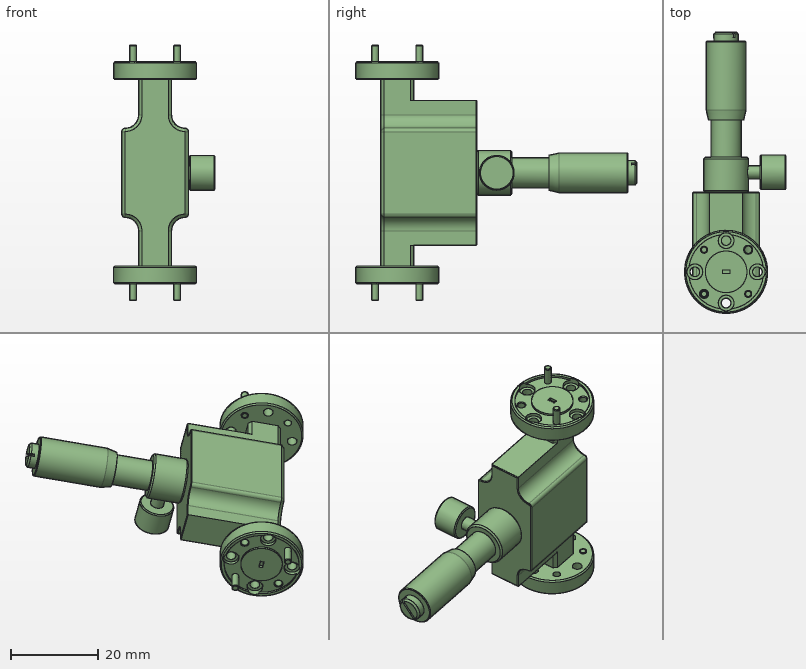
import cadquery as cq
import math


neck_half = 3.8
block_half_width = 7.65
shoulder_z = 10.25
corner_round = 0.85
edge_chamfer = 0.8
back_chamfer = 0.2
back_y = 18.2
arm_z = 16.6

flange_radius = 9.55
flange_face_z = 25.45
flange_thickness = 4.1
flange_chamfer = 0.3
boss_radius = 4.75
rim_inner_radius = 8.55
recess_depth = 0.5
hole_circle_radius = 7.15
screw_hole_diameter = 2.2
counterbore_diameter = 3.6
counterbore_depth = 0.85
guide_width = 1.7
guide_height = 0.85
guide_depth = 0.65

pin_diameter = 1.6
pin_tip_z = 29.275
pin_chamfer = 0.2
socket_diameter = 1.7
socket_mouth_diameter = 2.05
pin_angles = [135, 315]
socket_angles = [45, 225]
screw_angles = [0, 90, 180, 270]

hub_radius = 5.15
hub_end_y = 26.3
hub_chamfer = 0.4
sleeve_radius = 3.5
nose_y = 34.7
nose_radius = 4.05
thimble_start_y = 37.05
thimble_radius = 4.6
thimble_end_y = 52.8
thimble_chamfer = 0.2
cap_radius = 2.85
cap_end_y = 54.9
cap_chamfer = 0.45
slot_width = 0.5
slot_depth = 1.2
slot_angle = 48

lock_y = 22.8
lock_stem_radius = 1.55
knob_radius = 4.0
knob_start_x = 7.8
knob_end_x = 13.7
knob_chamfer = 0.25

cove_radius = block_half_width - neck_half - corner_round
flange_inner_z = flange_face_z - flange_thickness
recess_z = flange_face_z - recess_depth


def circle_points(angles):
    """Points on the flange hole circle at the given angles in degrees."""
    return [
        (
            hole_circle_radius * math.cos(math.radians(angle)),
            hole_circle_radius * math.sin(math.radians(angle)),
        )
        for angle in angles
    ]


def column(half_width, half_height, y_start, y_end):
    """Rectangular bar along Y, centred on X = 0 and Z = 0."""
    return (
        cq.Workplane("XZ", origin=(0, y_start, 0))
        .rect(2 * half_width, 2 * half_height)
        .extrude(y_start - y_end)
    )


def spindle(y_start, y_end, radius):
    """Cylinder on the micrometer axis."""
    return cq.Workplane("XZ", origin=(0, y_start, 0)).circle(radius).extrude(y_start - y_end)


def block_outline():
    """Closed outline of the block at the front face, with its coves and rounded corners."""
    cove_x = neck_half + cove_radius
    cove_z = shoulder_z + cove_radius
    corner_z = shoulder_z - corner_round
    return (
        cq.Workplane("XZ", origin=(0, -neck_half, 0))
        .moveTo(0, arm_z)
        .lineTo(neck_half, arm_z)
        .lineTo(neck_half, cove_z)
        .tangentArcPoint((cove_x, shoulder_z), relative=False)
        .tangentArcPoint((block_half_width, corner_z), relative=False)
        .lineTo(block_half_width, 0)
        .mirrorX()
        .mirrorY()
    )


def make_block():
    """Central block with its two necks, without flanges."""
    block = block_outline().extrude(-back_y - neck_half)
    block = block.faces(">Y").chamfer(back_chamfer)
    neck = column(neck_half, flange_inner_z, -neck_half, neck_half)
    neck = neck.faces(">Y").edges("|Z").chamfer(edge_chamfer)
    block = block.union(neck)
    return block.faces("<Y").edges("(not >Z) and (not <Z)").chamfer(edge_chamfer)


def make_flange():
    """Upper flange with its raised face, holes and sockets."""
    flange = (
        cq.Workplane("XY", origin=(0, 0, flange_inner_z))
        .circle(flange_radius)
        .extrude(flange_thickness)
        .edges()
        .chamfer(flange_chamfer)
    )
    recess = (
        cq.Workplane("XY", origin=(0, 0, recess_z))
        .circle(rim_inner_radius)
        .circle(boss_radius)
        .extrude(recess_depth)
    )
    flange = flange.cut(recess)

    floor = cq.Workplane("XY", origin=(0, 0, recess_z))
    screw_holes = floor.pushPoints(circle_points(screw_angles))
    flange = flange.cut(screw_holes.circle(screw_hole_diameter / 2).extrude(-flange_thickness))
    counterbores = (
        cq.Workplane("XY", origin=(0, 0, recess_z - counterbore_depth))
        .pushPoints(circle_points(screw_angles))
        .circle(counterbore_diameter / 2)
        .extrude(counterbore_depth + recess_depth)
    )
    flange = flange.cut(counterbores)

    pin_holes = floor.pushPoints(circle_points(pin_angles))
    flange = flange.cut(pin_holes.circle(pin_diameter / 2).extrude(-flange_thickness))
    sockets = floor.pushPoints(circle_points(socket_angles))
    flange = flange.cut(sockets.circle(socket_diameter / 2).extrude(-flange_thickness))
    mouth_depth = (socket_mouth_diameter - socket_diameter) / 2
    for x, y in circle_points(socket_angles):
        mouth = cq.Solid.makeCone(
            socket_diameter / 2,
            socket_mouth_diameter / 2,
            mouth_depth,
            cq.Vector(x, y, recess_z - mouth_depth),
        )
        flange = flange.cut(cq.Workplane(mouth))
    return flange


def flip_to_bottom(shape):
    """Turn an upper part over to the lower end, half a turn about the micrometer axis."""
    return shape.rotate((0, 0, 0), (0, 1, 0), 180)


def make_waveguide():
    """Blind rectangular opening in the upper contact face."""
    return (
        cq.Workplane("XY", origin=(0, 0, flange_face_z))
        .rect(guide_width, guide_height)
        .extrude(-guide_depth)
    )


def make_micrometer():
    """Hub, sleeve, tapered thimble and slotted end cap."""
    hub = spindle(back_y, hub_end_y, hub_radius).edges().chamfer(hub_chamfer)
    sleeve = spindle(hub_end_y, nose_y, sleeve_radius)
    taper = (
        cq.Workplane("XZ", origin=(0, nose_y, 0))
        .circle(nose_radius)
        .workplane(offset=nose_y - thimble_start_y)
        .circle(thimble_radius)
        .loft()
    )
    thimble = spindle(thimble_start_y, thimble_end_y, thimble_radius)
    thimble = thimble.faces(">Y").chamfer(thimble_chamfer)
    cap = spindle(thimble_end_y, cap_end_y, cap_radius).faces(">Y").chamfer(cap_chamfer)
    slot = (
        column(cap_radius, slot_width / 2, cap_end_y - slot_depth, cap_end_y)
        .rotate((0, 0, 0), (0, 1, 0), -slot_angle)
    )
    return hub.union(sleeve).union(taper).union(thimble).union(cap.cut(slot))


def make_lock_screw():
    """Stem and knob that clamp the hub from the +X side."""
    axis_start = cq.Workplane("YZ", origin=(0, lock_y, 0))
    stem = axis_start.circle(lock_stem_radius).extrude(knob_start_x)
    knob = (
        cq.Workplane("YZ", origin=(knob_start_x, lock_y, 0))
        .circle(knob_radius)
        .extrude(knob_end_x - knob_start_x)
        .edges()
        .chamfer(knob_chamfer)
    )
    return stem.union(knob)


def make_attenuator():
    """Housing, flanges, micrometer and lock screw as one solid."""
    flange = make_flange()
    waveguide = make_waveguide()
    return (
        make_block()
        .union(flange)
        .union(flip_to_bottom(flange))
        .union(make_micrometer())
        .union(make_lock_screw())
        .cut(waveguide)
        .cut(flip_to_bottom(waveguide))
    )


def make_pin(x, y):
    """Alignment pin of the upper flange, flush with the inner flange face."""
    return (
        cq.Workplane("XY", origin=(x, y, flange_inner_z))
        .circle(pin_diameter / 2)
        .extrude(pin_tip_z - flange_inner_z)
        .edges()
        .chamfer(pin_chamfer)
    )


attenuator = make_attenuator()

pins = []
for x, y in circle_points(pin_angles):
    pin = make_pin(x, y)
    pins.append(pin.val())
    pins.append(flip_to_bottom(pin).val())

result = cq.Compound.makeCompound([attenuator.val(), *pins])